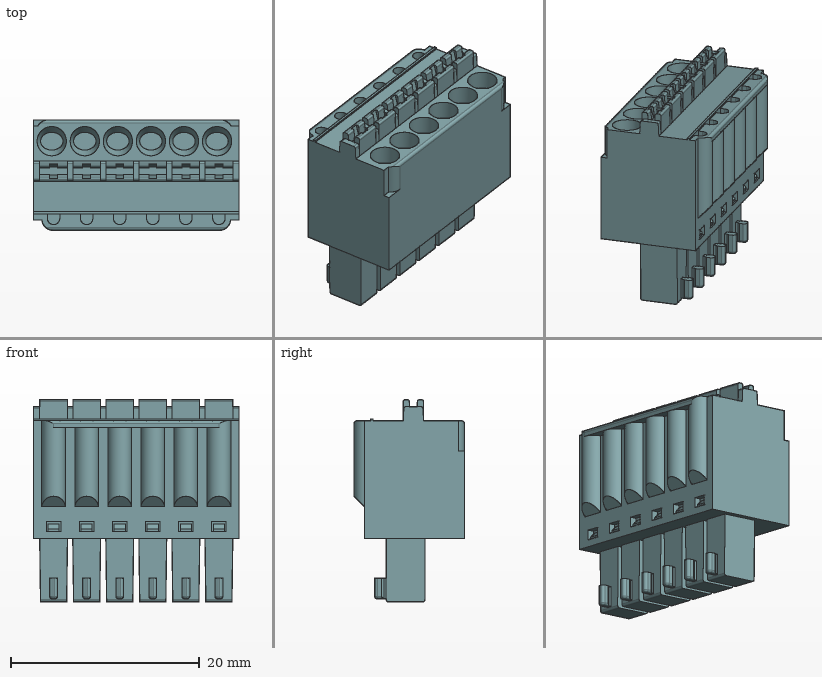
import cadquery as cq
import math


pole_count = 6
pitch = 3.499
pole_xs = [(i - (pole_count - 1) / 2) * pitch for i in range(pole_count)]

length = 21.8
depth = 10.6
height = 12.5
top_edge_radius = 0.33

rear_shift = -0.2

panel_length = 20.5
panel_thickness = 0.65
panel_foot = 9.26
panel_end_radius = 1.3

apron_reach = 1.11
column_radius = 1.26
column_foot = 3.38
web_height = 0.75

ridge_front = 0.65
ridge_width = 0.26
ridge_height = 0.17
pocket_radius = 0.65
pocket_center_y = 0.17
pocket_depth = 2.18

entry_y = 8.35
entry_diameter = 3.1
entry_floor_length = 2.38
entry_floor_width = 1.87
entry_bore_depth = 2.0
entry_funnel_depth = 1.1

rail_front = 4.1
rail_width = 2.15
rail_height = 1.48
rail_draft = 0.09
rail_edge_radius = 0.2
lever_length = 2.95
lever_height = 2.22
lever_edge_radius = 0.22
prong_top = 0.65
prong_foot = 0.72
slot_floor = 0.95
dip_length = 0.83
dip_top = 0.33
dip_foot = 0.65

window_length = 1.53
window_height = 1.05
window_sill = 0.78
window_depth = 0.75
catch_length = 1.18
catch_front = 0.2
catch_lip = 0.26
catch_height = 0.78

plug_front = 2.29
plug_depth = 4.12
plug_drop = 6.7
plug_top_length = 2.96
plug_tip_length = 2.8
plug_edge_radius = 0.25
key_width = 0.83
key_reach = 1.22
key_top = -4.19
key_height = 2.18
key_radius = 0.33
key_flat = 0.41
key_neck_width = 0.57
key_neck_length = 0.25
key_tip_radius = 0.26


def box(x_mid, x_size, y_min, y_size, z_min, z_size):
    """Box centred on x_mid, starting at y_min and z_min."""
    block = cq.Workplane("XY").box(x_size, y_size, z_size, centered=(True, False, False))
    return block.translate((x_mid, y_min, z_min))


def bar(points, x_mid, x_size):
    """Prism along X with the given (y, z) outline."""
    prism = cq.Workplane("YZ").polyline(points).close().extrude(x_size / 2, both=True)
    return prism.translate((x_mid, 0, 0))


def make_housing():
    housing = box(0, length, 0, depth, 0, height).edges(">Y and >Z").fillet(top_edge_radius)
    ridge = box(0, length, ridge_front, ridge_width, height, ridge_height)
    return housing.union(ridge)


def rear_notches():
    """Cutter that leaves the upper rear of the housing as a panel with rounded ends."""
    strip_y = depth - panel_thickness
    strip = box(0, length, strip_y, panel_thickness, panel_foot, height)
    arc_center_y = panel_end_radius - panel_thickness
    arc_run = math.sqrt(panel_end_radius**2 - arc_center_y**2)
    end_x = panel_length / 2
    arc_x = end_x - arc_run
    mid_angle = (math.pi / 2 + math.asin(arc_center_y / panel_end_radius)) / 2
    mid_x = arc_x + panel_end_radius * math.cos(mid_angle)
    mid_y = panel_end_radius * math.sin(mid_angle) - arc_center_y
    panel = (
        cq.Workplane("XY", origin=(rear_shift, strip_y, panel_foot))
        .moveTo(-end_x, 0)
        .lineTo(end_x, 0)
        .threePointArc((mid_x, mid_y), (arc_x, panel_thickness))
        .lineTo(-arc_x, panel_thickness)
        .threePointArc((-mid_x, mid_y), (-end_x, 0))
        .close()
        .extrude(height)
    )
    return strip.cut(panel)


def make_apron():
    column_y = column_radius - apron_reach
    apron = box(0, pole_xs[-1] - pole_xs[0], -apron_reach, apron_reach, height - web_height, web_height)
    for x in pole_xs:
        apron = apron.union(cq.Workplane("XY").center(x, column_y).circle(column_radius).extrude(height))
    inside = column_y
    envelope = bar(
        [
            (inside, column_foot),
            (0, column_foot),
            (-apron_reach, column_foot + apron_reach),
            (-apron_reach, height),
            (inside, height),
        ],
        0,
        length,
    )
    return apron.intersect(envelope.edges("<Y and >Z").fillet(top_edge_radius))


def front_pocket(x):
    """U-shaped pocket in the top of the apron, flat against the ridge."""
    back_to_center = ridge_front - pocket_center_y
    return (
        cq.Workplane("XY", origin=(x, pocket_center_y, height))
        .moveTo(-pocket_radius, back_to_center)
        .lineTo(-pocket_radius, 0)
        .threePointArc((0, -pocket_radius), (pocket_radius, 0))
        .lineTo(pocket_radius, back_to_center)
        .close()
        .extrude(-pocket_depth)
    )


def wire_entry(x):
    """Round bore followed by a short funnel that narrows to an oval floor."""
    mouth = cq.Workplane("XY", origin=(x + rear_shift, entry_y, height))
    bore = mouth.circle(entry_diameter / 2).extrude(-entry_bore_depth)
    funnel = (
        mouth.workplane(offset=-entry_bore_depth)
        .circle(entry_diameter / 2)
        .workplane(offset=-entry_funnel_depth)
        .ellipse(entry_floor_length / 2, entry_floor_width / 2)
        .loft(ruled=True)
    )
    return bore.union(funnel)


def make_rail():
    rail_back = rail_front + rail_width
    rail = bar(
        [
            (rail_front, height),
            (rail_back, height),
            (rail_back - rail_draft, height + rail_height),
            (rail_front + rail_draft, height + rail_height),
        ],
        0,
        length,
    )
    return rail.edges("|X and >Z").fillet(rail_edge_radius)


def lever_slot(x, x_size, top_inset, foot_inset):
    """Tapered groove along X between the two prongs of a lever."""
    rail_back = rail_front + rail_width
    floor = height + slot_floor
    top = height + lever_height
    return bar(
        [
            (rail_front + foot_inset, floor),
            (rail_back - foot_inset, floor),
            (rail_back - top_inset, top),
            (rail_front + top_inset, top),
        ],
        x,
        x_size,
    )


def lever(x):
    """Release lever: two round-edged prongs, each with a dip in the middle of its inner side."""
    block = box(x, lever_length, rail_front, rail_width, height, lever_height)
    block = block.cut(lever_slot(x, lever_length, prong_top, prong_foot))
    block = block.edges("|X and >Z").fillet(lever_edge_radius)
    return block.cut(lever_slot(x, dip_length, dip_top, dip_foot))


def make_rail_with_levers():
    rail = make_rail()
    for x in pole_xs:
        seat = box(x, lever_length, rail_front, rail_width, height, lever_height)
        rail = rail.cut(seat).union(lever(x))
    return rail


def window(x):
    """Window cutter: a shallow box less the ramped catch that stays inside."""
    opening = box(x, window_length, 0, window_depth, window_sill, window_height)
    catch_back = catch_front + catch_height - catch_lip
    catch = bar(
        [
            (catch_front, window_sill),
            (window_depth, window_sill),
            (window_depth, window_sill + catch_height),
            (catch_back, window_sill + catch_height),
            (catch_front, window_sill + catch_lip),
        ],
        x,
        catch_length,
    )
    return opening.cut(catch)


def plug(x):
    """Tongue below the housing, slightly tapered, with rounded lower front and back edges."""
    half_top = plug_top_length / 2
    half_tip = plug_tip_length / 2
    tongue = (
        cq.Workplane("XZ")
        .polyline([(-half_top, 0), (half_top, 0), (half_tip, -plug_drop), (-half_tip, -plug_drop)])
        .close()
        .extrude(-plug_depth)
        .translate((x, plug_front, 0))
    )
    return tongue.edges("|X and <Z").fillet(plug_edge_radius)


def key(x):
    """Upright key with a rounded front and a narrower neck where it meets the tongue."""
    half = key_width / 2
    half_neck = key_neck_width / 2
    front = plug_front - key_reach
    flat_end = front + key_radius + key_flat
    neck_start = plug_front - key_neck_length
    outline = [
        (-half, front),
        (half, front),
        (half, flat_end),
        (half_neck, neck_start),
        (half_neck, plug_front),
        (-half_neck, plug_front),
        (-half_neck, neck_start),
        (-half, flat_end),
    ]
    body = cq.Workplane("XY").polyline(outline).close().extrude(key_height)
    body = body.edges("|Z and <Y").fillet(key_radius)
    head_tip = cq.selectors.BoxSelector(
        (-key_width, front - key_radius, -key_tip_radius),
        (key_width, flat_end, key_tip_radius),
    )
    body = body.faces("<Z").edges(head_tip).fillet(key_tip_radius)
    return body.translate((x, 0, key_top - key_height))


result = make_housing().cut(rear_notches()).union(make_apron()).union(make_rail_with_levers())
for pole_x in pole_xs:
    result = result.union(plug(pole_x)).union(key(pole_x))
    result = result.cut(wire_entry(pole_x)).cut(front_pocket(pole_x)).cut(window(pole_x))